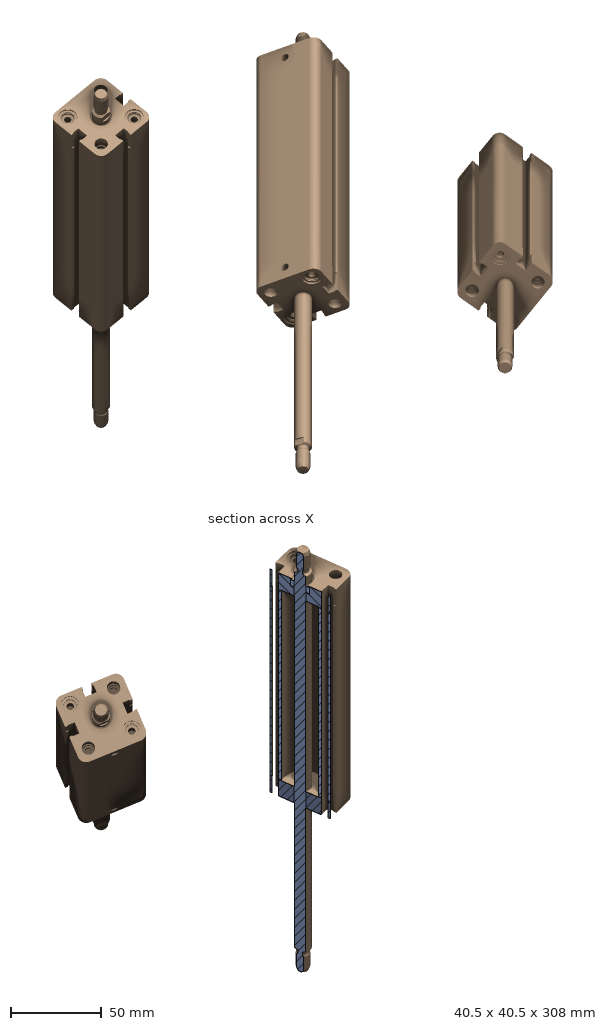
import cadquery as cq


side = 40.5
housing_length = 164.2
cap_length = 12.3
corner_radius = 5.0
tube_length = housing_length - 2 * cap_length
bore_diameter = 25.0

slot_depth = 6.0
slot_width = 6.8
slot_lip = 2.0
cap_mouth_width = 6.0
tube_mouth_width = 5.0
tube_mouth_chamfer = 0.5
slot_angles = (0, 90, 180)

corner_offset = 13.0
plain_hole_steps = ((7.5, 6.2), (6.0, 8.0), (4.0, 10.5))
collar_hole_steps = ((10.8, 0.3), (10.5, 1.0), (8.0, 1.5), (7.5, 2.5), (4.0, 10.5))
plain_corners = ((-1, 1), (1, -1))
collar_corners = ((1, 1), (-1, -1))

port_diameter = 4.5
port_depth = 4.5
port_inset = 7.7

ring_diameter = 14.0
ring_length = 4.5
ring_lip = 1.0
lip_hole_diameter = 12.0

rod_diameter = 10.0
rod_top = 186.0
total_length = 308.0
rod_drop = total_length - rod_top
thread_diameter = 8.0
undercut_diameter = 7.0
thread_runout = 1.0
stud_tip_diameter = 6.5
stud_tip_length = 2.2
thread_end = 13.0
stud_length = 15.0
shoulder_cone_length = 1.0
flats_width = 8.0
flats_length = 4.3


def along_z(diameter, bottom, top):
    """A cylinder on the Z axis between two heights."""
    return cq.Workplane("XY").workplane(offset=bottom).circle(diameter / 2).extrude(top - bottom)


def housing_block(length):
    return cq.Workplane("XY").rect(side, side).extrude(length).edges("|Z").fillet(corner_radius)


def t_slots(length, mouth_width, mouth_chamfer=0.0):
    """The T-slots, for cutting from a housing part that stands on Z = 0."""
    face = -side / 2
    mouth = cq.Workplane("XY").rect(mouth_width, 2 * slot_depth).extrude(length).translate((0, face, 0))
    chamber_depth = slot_depth - slot_lip
    chamber = (
        cq.Workplane("XY")
        .rect(slot_width, chamber_depth)
        .extrude(length)
        .translate((0, face + slot_lip + chamber_depth / 2, 0))
    )
    slot = mouth.union(chamber)
    if mouth_chamfer:
        half_width = mouth_width / 2
        flare = (
            cq.Workplane("XY")
            .moveTo(-half_width - mouth_chamfer, face)
            .lineTo(half_width + mouth_chamfer, face)
            .lineTo(half_width, face + mouth_chamfer)
            .lineTo(-half_width, face + mouth_chamfer)
            .close()
            .extrude(length)
        )
        slot = slot.union(flare)
    slots = cq.Workplane("XY")
    for angle in slot_angles:
        slots = slots.add(slot.rotate((0, 0, 0), (0, 0, 1), angle))
    return slots.combine()


def stepped_holes(corners, steps):
    """Stepped blind holes, narrowing down from the outer face of an upper cap."""
    centres = [(x * corner_offset, y * corner_offset) for x, y in corners]
    holes = cq.Workplane("XY")
    for diameter, depth in steps:
        bottom = cap_length - depth
        step = cq.Workplane("XY").workplane(offset=bottom).pushPoints(centres)
        holes = holes.add(step.circle(diameter / 2).extrude(depth))
    return holes.combine()


def end_cap():
    """An end cap standing on Z = 0 with its outer face up."""
    cap = housing_block(cap_length)
    cap = cap.cut(t_slots(cap_length, cap_mouth_width))
    cap = cap.cut(stepped_holes(plain_corners, plain_hole_steps))
    cap = cap.cut(stepped_holes(collar_corners, collar_hole_steps))
    cap = cap.cut(along_z(rod_diameter, 0, cap_length))
    port = (
        cq.Workplane("YZ", origin=(-side / 2, 0, cap_length - port_inset))
        .circle(port_diameter / 2)
        .extrude(port_depth)
    )
    return cap.cut(port)


def upper_cap():
    ring_top = cap_length - ring_lip
    cap = end_cap()
    cap = cap.cut(along_z(lip_hole_diameter, ring_top, cap_length))
    cap = cap.cut(along_z(ring_diameter, ring_top - ring_length, ring_top))
    return cap.translate((0, 0, housing_length - cap_length))


def lower_cap():
    return end_cap().mirror("XY").translate((0, 0, cap_length))


def guide_ring():
    top = housing_length - ring_lip
    bottom = top - ring_length
    return along_z(ring_diameter, bottom, top).cut(along_z(rod_diameter, bottom, top))


def tube():
    body = housing_block(tube_length)
    body = body.cut(t_slots(tube_length, tube_mouth_width, tube_mouth_chamfer))
    body = body.cut(along_z(bore_diameter, 0, tube_length))
    return body.translate((0, 0, cap_length))


def rod_half(length):
    """Half of the rod from Z = 0 up to its stud, with flats on the X sides under the stud."""
    shoulder = length - stud_length
    half = along_z(rod_diameter, 0, shoulder)
    cone_inset = (rod_diameter - undercut_diameter) / 2
    half = half.faces(">Z").chamfer(shoulder_cone_length, cone_inset)
    flat_depth = rod_diameter - flats_width
    for x_side in (-1, 1):
        flat = cq.Workplane("XY").box(flat_depth, rod_diameter, 2 * flats_length)
        half = half.cut(flat.translate((x_side * rod_diameter / 2, 0, shoulder)))
    half = half.union(along_z(undercut_diameter, shoulder, length - thread_end))
    thread = along_z(thread_diameter, length - thread_end, length)
    tip_inset = (thread_diameter - stud_tip_diameter) / 2
    thread = thread.faces(">Z").chamfer(stud_tip_length, tip_inset)
    runout_inset = (thread_diameter - undercut_diameter) / 2
    thread = thread.faces("<Z").chamfer(thread_runout, runout_inset)
    return half.union(thread)


def rod():
    """The through rod, its two halves meeting at Z = 0."""
    return rod_half(rod_top).union(rod_half(rod_drop).mirror("XY"), clean=True)


result = cq.Compound.makeCompound(
    [tube().val(), upper_cap().val(), lower_cap().val(), guide_ring().val(), rod().val()]
)